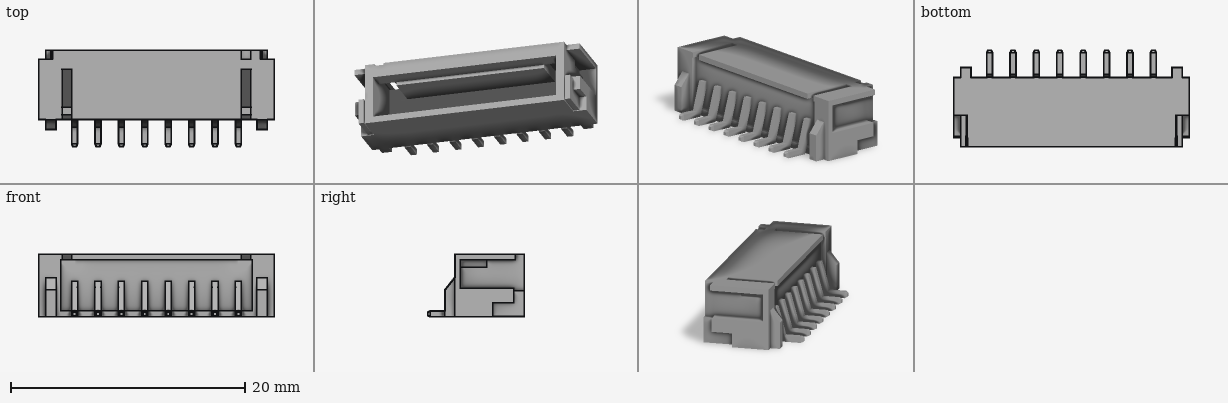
import cadquery as cq


length = 20.15
depth = 5.95
height = 5.38
core_length = 17.81
skin = 0.48
flange_setback = 0.77

shoulder_top = 2.44
shoulder_setback = 0.9
relief_height = 1.23
relief_depth = 2.7
window_height = 0.66
window_front = 3.2
window_depth = 0.3

cavity_length = 16.38
floor_height = 0.55
mouth_top = 4.17
cavity_top = 3.87
rear_recess = 0.45
rear_wall = 0.62

slot_width = 0.8
slot_outer_x = 8.05
slot_front = 1.63
slot_pocket_width = 1.6
key_depth = 0.16

tab_outer_x = 9.47
front_tab_width = 0.46
front_tab_top = 2.25
tab_clearance = 0.06
rear_tab_width = 0.89
rear_tab_reach = 0.85
rear_tab_top = 3.37
rear_tab_shoulder = 2.32

pin_count = 8
pin_row_length = 14.0
pin_width = 0.52
pin_thickness = 0.52
pin_top = 3.05
pin_upper_bend = 0.4
pin_foot_bend = 0.65
pin_reach = 2.32
tip_length = 0.25
tip_inset = 0.12

pin_pitch = pin_row_length / (pin_count - 1)
rear_y = -depth
wall_back_y = rear_y + rear_recess
wall_front_y = wall_back_y + rear_wall
roof_bottom = height - skin
sides = (-1, 1)


def block(x_range, y_range, z_range):
    """Box spanning the given pairs of limits, in either order."""
    limits = [sorted(pair) for pair in (x_range, y_range, z_range)]
    sizes = [high - low for low, high in limits]
    corner = tuple(low for low, high in limits)
    return cq.Workplane("XY").box(*sizes, centered=False).translate(corner)


def side_profile(points, x_start, width):
    """Outline of (y, z) points extruded along +X from x_start."""
    return cq.Workplane("YZ").polyline(points).close().extrude(width).translate((x_start, 0, 0))


def end_cuts(side):
    """Material removed outside the core at one end of the housing."""
    span = (side * core_length / 2, side * length / 2)
    window_span = (side * (core_length / 2 - window_depth), side * length / 2)
    pocket_rear = rear_y + skin
    flange_gap = block(span, (0, -flange_setback), (0, height))
    pocket = block(span, (0, pocket_rear), (shoulder_top, roof_bottom))
    shoulder_gap = block(span, (0, -shoulder_setback), (0, roof_bottom))
    tab_relief = block(span, (0, -relief_depth), (0, relief_height))
    window = block(window_span, (-window_front, pocket_rear), (roof_bottom - window_height, roof_bottom))
    return flange_gap.union(pocket).union(shoulder_gap).union(tab_relief).union(window)


def roof_slot(side):
    """Roof slot open to the rear, with a wider pocket below it that reaches the cavity."""
    outer_x = side * slot_outer_x
    inner_x = side * (slot_outer_x - slot_width)
    pocket_outer_x = side * cavity_length / 2
    pocket_inner_x = side * (cavity_length / 2 - slot_pocket_width)
    slot = block((inner_x, outer_x), (-slot_front, rear_y), (roof_bottom, height))
    pocket = block((pocket_inner_x, pocket_outer_x), (-slot_front, wall_front_y), (cavity_top, roof_bottom))
    return slot.union(pocket)


def housing():
    cavity_span = (-cavity_length / 2, cavity_length / 2)
    body = block((-length / 2, length / 2), (0, rear_y), (0, height))
    body = body.cut(block(cavity_span, (0, -slot_front), (floor_height, mouth_top)))
    body = body.cut(block(cavity_span, (-slot_front, wall_front_y), (floor_height, cavity_top)))
    body = body.cut(block(cavity_span, (rear_y, wall_back_y), (floor_height, roof_bottom)))
    for side in sides:
        body = body.cut(end_cuts(side)).cut(roof_slot(side))
    key_span = (slot_outer_x - slot_width, slot_outer_x)
    return body.cut(block(key_span, (0, -flange_setback), (height - key_depth, height)))


def solder_tabs(side):
    """Flat tab at the mating end and sloped tab at the rear, on one side."""
    outer_x = side * tab_outer_x
    front_span = (outer_x, outer_x - side * front_tab_width)
    front_tab = block(front_span, (0, -relief_depth), (tab_clearance, front_tab_top))
    rear_outline = [
        (rear_y, 0),
        (rear_y - rear_tab_reach, 0),
        (rear_y - rear_tab_reach, rear_tab_shoulder),
        (rear_y, rear_tab_top),
    ]
    rear_start = min(outer_x, outer_x - side * rear_tab_width)
    return front_tab.union(side_profile(rear_outline, rear_start, rear_tab_width))


def pin():
    """Pin centred on X = 0: stub in the rear wall, sloping leg, foot and tapered tip."""
    upper_y = wall_back_y - pin_upper_bend
    foot_y = rear_y - pin_foot_bend
    run = upper_y - foot_y
    drop = pin_top - pin_thickness
    leg_offset = pin_thickness * (run**2 + drop**2) ** 0.5 / drop
    bend_shift = leg_offset - pin_thickness * run / drop
    foot_end_y = rear_y - pin_reach + tip_length
    outline = [
        (wall_front_y, pin_top),
        (upper_y, pin_top),
        (foot_y, pin_thickness),
        (foot_end_y, pin_thickness),
        (foot_end_y, 0),
        (foot_y + bend_shift, 0),
        (upper_y + bend_shift, pin_top - pin_thickness),
        (wall_front_y, pin_top - pin_thickness),
    ]
    shaft = side_profile(outline, -pin_width / 2, pin_width)
    tip = (
        cq.Workplane("XZ", origin=(0, foot_end_y, pin_thickness / 2))
        .rect(pin_width, pin_thickness)
        .workplane(offset=tip_length)
        .rect(pin_width - 2 * tip_inset, pin_thickness - 2 * tip_inset)
        .loft()
    )
    return shaft.union(tip)


result = housing()
for side in sides:
    result = result.union(solder_tabs(side))
for index in range(pin_count):
    pin_x = index * pin_pitch - pin_row_length / 2
    result = result.union(pin().translate((pin_x, 0, 0)))